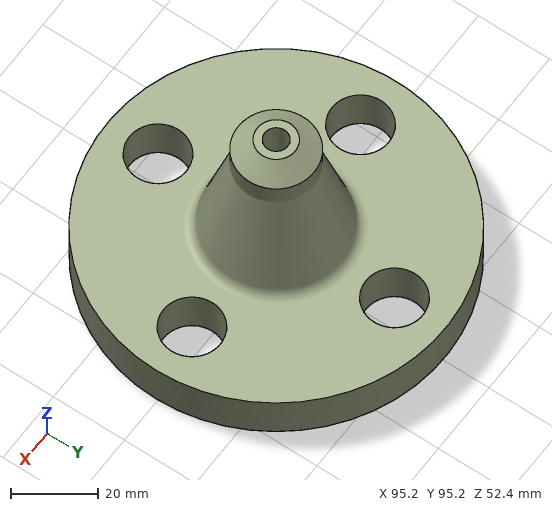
import cadquery as cq

flange_diameter = 95.2
flange_thickness = 12.7

face_diameter = 35.1
face_height = 1.6

bolt_hole_diameter = 16.0
bolt_circle_diameter = 66.7
bolt_hole_count = 4

total_height = 52.4
hub_base_diameter = 38.1
hub_fillet_radius = 3.0
neck_diameter = 21.3
neck_height = 6.0
bevel_height = 4.3
tip_diameter = 10.7
bore_diameter = 6.4

plate_bottom = face_height
plate_top = plate_bottom + flange_thickness
bevel_bottom = total_height - bevel_height
neck_bottom = bevel_bottom - neck_height


def raised_face_plate():
    """Round plate standing on its raised sealing face."""
    face = cq.Workplane("XY").circle(face_diameter / 2).extrude(face_height)
    plate = (
        cq.Workplane("XY")
        .workplane(offset=plate_bottom)
        .circle(flange_diameter / 2)
        .extrude(flange_thickness)
    )
    return face.union(plate)


def welding_neck():
    """Tapered hub, straight neck and bevelled tip, revolved about Z."""
    return (
        cq.Workplane("XZ")
        .moveTo(0, plate_top)
        .lineTo(hub_base_diameter / 2, plate_top)
        .lineTo(neck_diameter / 2, neck_bottom)
        .lineTo(neck_diameter / 2, bevel_bottom)
        .lineTo(tip_diameter / 2, total_height)
        .lineTo(0, total_height)
        .close()
        .revolve(360, (0, 0, 0), (0, 1, 0))
    )


def round_hub_foot(body):
    """Fillet the circle where the hub meets the top of the plate."""
    beside_hub = (flange_diameter / 2, 0, plate_top)
    plate_top_face = body.faces(cq.selectors.NearestToPointSelector(beside_hub))
    hub_foot = plate_top_face.edges(cq.selectors.RadiusNthSelector(0))
    return hub_foot.fillet(hub_fillet_radius)


def axial_hole(diameter):
    """Cylinder along Z, as tall as the part, used to cut through holes."""
    return cq.Workplane("XY").circle(diameter / 2).extrude(total_height)


def bolt_hole_cutters():
    """Equally spaced cylinders on the bolt circle, the first on the +X axis."""
    return (
        cq.Workplane("XY")
        .polarArray(bolt_circle_diameter / 2, 0, 360, bolt_hole_count)
        .circle(bolt_hole_diameter / 2)
        .extrude(plate_top)
    )


flange = round_hub_foot(raised_face_plate().union(welding_neck()))
result = flange.cut(axial_hole(bore_diameter)).cut(bolt_hole_cutters())